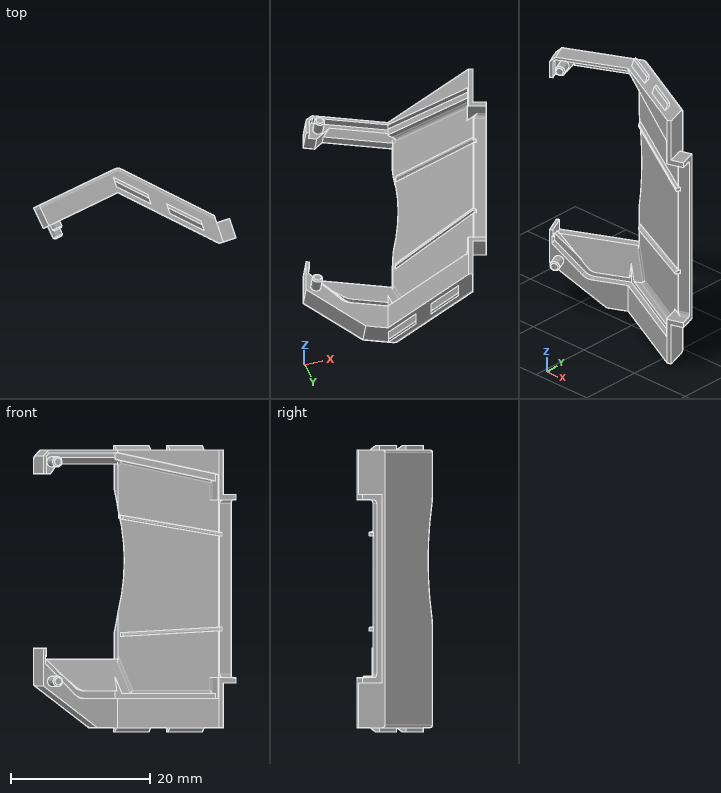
import cadquery as cq
import math

total_height = 41.2
tab_height = 0.6
body_bottom = tab_height
body_top = total_height - tab_height
mid_height = total_height / 2

bend = cq.Vector(12.07, 7.3, 0)
left_angle = 25.7
right_angle = -math.degrees(math.atan(0.5))
end_angle = right_angle + 45
arm_depth = 3.3
left_length = 11.85
right_length = 16.3
panel_front = 2.05
left_ledge = 1.1
right_ledge = 0.8
reach = 49.45

end_wall_outer = 0.6
end_wall_inner = -0.15
flange_length = 2.55
flange_depth = 2.95
flange_thickness = 0.8
flange_inner_low = 7.83
flange_inner_high = total_height - flange_inner_low
lip_front = 2.15
lip_fillet = 0.5

left_wall = 0.5
upper_hook_bottom = 37.12
lower_hook_top = 12.07
hook_chamfer = 0.9
foot_corner_height = 6.65
foot_corner_position = -3.2

rim_low = 4.85
ledge_low_left = 5.95
ledge_low_right = 5.52
rim_high = 40.13
ledge_high_left = 39.45
left_back_high = 38.52
right_ledge_step = 1.1
right_slope = 0.193
ramp_top = 10.5

back_fillet = 0.4
bend_fillet = 1.0
pocket_fillet = 0.5
foot_rim_radius = 2.05

foot_rim_start = (-11.5, 9.85)
foot_rim_corner = -6.25
foot_ledge_start = (-11.5, 11.0)
foot_ledge_corner = -5.73

hook_plate_foot = -10.18
hook_plate_top = -8.35

scallop_centre_height = 24.65
scallop_deepest = 0.0
scallop_radius = 27.6

rib_heights = [(31.35, 28.43), (13.9, 14.85)]
rib_width = 0.55
rib_depth = 0.5
rib_fillet = 0.25
rib_start = 1.28
rib_end = 15.6

tab_front = 0.7
tab_width = 1.05
tab_length = 5.52
tab_start = -0.55
tab_pitch = 8.55

pin_radius = 0.75
pin_length = 2.1
pin_chamfer = 0.2
lower_pin_position = -10.45
lower_pin_height = 7.3
upper_pin_position = -10.0
upper_pin_height = 38.85


def arm_plane(angle, origin=bend):
    """Upright plane along an arm: x runs along it, y is up and the normal faces the front."""
    along = cq.Vector(math.cos(math.radians(angle)), math.sin(math.radians(angle)), 0)
    return cq.Plane(origin=origin, xDir=along, normal=along.cross(cq.Vector(0, 0, 1)))


left_plane = arm_plane(left_angle)
right_plane = arm_plane(right_angle)
end_origin = right_plane.toWorldCoords((right_length, 0, 0))
end_plane = arm_plane(end_angle, end_origin)


def at(plane, along, depth):
    """Plan point at a distance along an arm and a depth behind its front."""
    point = plane.toWorldCoords((along, 0, -depth))
    return (point.x, point.y)


def meet(plane_a, depth_a, plane_b, depth_b):
    """Plan point where a line at one depth of an arm crosses a line at a depth of another arm."""
    ax, ay = at(plane_a, 0, depth_a)
    bx, by = at(plane_b, 0, depth_b)
    u, v = plane_a.xDir, plane_b.xDir
    run = ((bx - ax) * v.y - (by - ay) * v.x) / (u.x * v.y - u.y * v.x)
    return (ax + run * u.x, ay + run * u.y)


def across_end(along, plane, depth):
    """Plan point where the cross line of the turned end meets a depth line of an arm."""
    cross_line = arm_plane(end_angle + 90, cq.Vector(*at(end_plane, along, 0)))
    return meet(cross_line, 0, plane, depth)


def plan(points, bottom, top):
    """Upright prism over a plan outline."""
    return cq.Workplane("XY").workplane(offset=bottom).polyline(points).close().extrude(top - bottom)


def profile(plane, points, front, back):
    """Prism over an arm elevation, between two depths."""
    return cq.Workplane(plane).workplane(offset=-back).polyline(points).close().extrude(back - front)


def section(plane, points, start, end):
    """Prism along an arm over a cross-section of (depth, height) points."""
    cross = cq.Plane(origin=plane.toWorldCoords((start, 0, 0)), xDir=-plane.zDir, normal=plane.xDir)
    return cq.Workplane(cross).polyline(points).close().extrude(end - start)


front_bend = (bend.x, bend.y)
ledge_bend = meet(left_plane, left_ledge, right_plane, right_ledge)
outer_bend = meet(left_plane, arm_depth, right_plane, arm_depth)
panel_corner = meet(left_plane, panel_front, right_plane, panel_front)
panel_start = panel_front * math.tan(math.radians((left_angle - right_angle) / 2))


def make_block():
    """Solid bent bar with its left corners cut and its back edges rounded."""
    outline = [
        front_bend,
        at(end_plane, 0, 0),
        at(end_plane, end_wall_outer, 0),
        across_end(end_wall_outer, right_plane, arm_depth),
        outer_bend,
        at(left_plane, -left_length, arm_depth),
        at(left_plane, -left_length, 0),
    ]
    block = plan(outline, body_bottom, body_top)
    top_corner = [
        (-left_length, body_top),
        (-left_length, body_top - hook_chamfer),
        (-left_length + hook_chamfer, body_top),
    ]
    foot_corner = [
        (-left_length, body_bottom),
        (-left_length, foot_corner_height),
        (foot_corner_position, body_bottom),
    ]
    for corner in (top_corner, foot_corner):
        block = block.cut(profile(left_plane, corner, -0.4, arm_depth + 0.4))
    block = block.edges(cq.selectors.NearestToPointSelector((*outer_bend, mid_height))).fillet(bend_fillet)
    back = cq.selectors.NearestToPointSelector((*at(left_plane, -left_length / 2, arm_depth), mid_height))
    return block.faces(back).edges("not |Z").fillet(back_fillet)


def ramp_section():
    """Cross-section of the left foot: from the front rim up a ramp to the back wall."""
    return [(0, 0), (0, rim_low), (panel_front, ramp_top), (reach, ramp_top), (reach, 0)]


def hook_section():
    """Cross-section of the left hook behind its ledge, with an underside sloping down to the back."""
    return [
        (left_ledge, total_height),
        (left_ledge, ledge_high_left),
        (panel_front, left_back_high),
        (reach, left_back_high),
        (reach, total_height),
    ]


def make_left_void():
    """Open space of the left arm between foot and hook, up to the edge of the panel."""
    outline = [
        front_bend,
        ledge_bend,
        panel_corner,
        at(left_plane, panel_start, reach),
        at(left_plane, -reach, reach),
        at(left_plane, -reach, -reach),
        at(right_plane, 0, -reach),
    ]
    start = -left_length + left_wall
    length = left_length
    tall = section(left_plane, [(-0.4, rim_low), (reach, rim_low), (reach, rim_high), (-0.4, rim_high)], start, length)
    void = tall.cut(section(left_plane, ramp_section(), start, length))
    void = void.cut(section(left_plane, hook_section(), start, length))
    for solid in left_end_fills():
        void = void.cut(solid)
    void = void.union(make_foot_groove())
    gap = [
        (-reach, lower_hook_top),
        (start, lower_hook_top),
        (start, upper_hook_bottom),
        (-reach, upper_hook_bottom),
    ]
    void = void.union(profile(left_plane, gap, -0.4, arm_depth + 0.4))
    return void.intersect(plan(outline, 0, total_height))


def foot_outline(diagonal_start, corner, floor, radius):
    """Elevation under a foot edge that drops at a slope from the left wall and levels off at the floor."""
    (start_along, start_height) = diagonal_start
    slope = math.atan2(start_height - floor, corner - start_along)
    tangent = radius * math.tan(slope / 2)
    curve_start = (corner - tangent * math.cos(slope), floor + tangent * math.sin(slope))
    curve_middle = (
        corner + tangent - radius * math.sin(slope / 2),
        floor + radius * (1 - math.cos(slope / 2)),
    )
    return (
        cq.Workplane(left_plane)
        .moveTo(start_along, 0)
        .lineTo(start_along, start_height)
        .lineTo(*curve_start)
        .threePointArc(curve_middle, (corner + tangent, floor))
        .lineTo(reach, floor)
        .lineTo(reach, 0)
        .close()
    )


def foot_front(depth):
    """Foot material below the front rim."""
    return foot_outline(foot_rim_start, foot_rim_corner, rim_low, foot_rim_radius).extrude(-depth)


def foot_ledge(depth):
    """Foot material below the ledge edge."""
    return foot_outline(foot_ledge_start, foot_ledge_corner, ledge_low_left, foot_rim_radius).extrude(-depth)


def make_foot_groove():
    """Step cut into the foot between its front rim and its ledge edge."""
    return foot_ledge(left_ledge).cut(foot_front(left_ledge))


def left_end_fills():
    """Material left standing beside the end wall: foot rim, foot ledge, hook plate and hook corner."""
    hook_plate = [
        (-left_length, upper_hook_bottom),
        (hook_plate_foot, upper_hook_bottom),
        (hook_plate_top, ledge_high_left),
        (hook_plate_top, total_height),
        (-left_length, total_height),
    ]
    inner_wall = -left_length + left_wall
    hook_corner = [
        (inner_wall, rim_high),
        (inner_wall, rim_high - hook_chamfer / 2),
        (inner_wall + hook_chamfer / 2, rim_high),
    ]
    return [
        foot_front(left_ledge),
        foot_ledge(panel_front).cut(foot_ledge(left_ledge)),
        profile(left_plane, hook_plate, left_ledge, arm_depth + 0.4),
        profile(left_plane, hook_corner, 0, left_ledge),
    ]


def make_right_pocket():
    """Space of the right arm in front of the panel, with its back edges rounded."""
    def opening(low, high, depth):
        start, end = -arm_depth, right_length
        points = [(start, low), (end, low), (end, high - right_slope * end), (start, high - right_slope * start)]
        return profile(right_plane, points, -0.4, depth)

    def clip(depth, left_corners):
        outline = [
            front_bend,
            *left_corners,
            across_end(end_wall_inner, right_plane, depth),
            across_end(end_wall_inner, right_plane, -0.4),
            at(right_plane, 0, -0.4),
        ]
        return plan(outline, 0, total_height)

    pocket = opening(ledge_low_right, rim_high - right_ledge_step, panel_front)
    pocket = pocket.intersect(clip(panel_front, [ledge_bend, panel_corner]))
    pocket = pocket.cut(section(left_plane, ramp_section(), -arm_depth, right_length))
    pocket = pocket.cut(section(left_plane, hook_section(), -arm_depth, right_length))
    middle = at(right_plane, right_length / 2, panel_front)
    back = cq.selectors.NearestToPointSelector((*middle, mid_height))
    open_side = cq.selectors.NearestToPointSelector((*panel_corner, mid_height))
    back_edges = pocket.faces(back).edges()
    rounded = [edge for edge in back_edges.vals() if edge not in back_edges.edges(open_side).vals()]
    pocket = pocket.newObject(rounded).fillet(pocket_fillet)
    groove = opening(rim_low, rim_high, right_ledge).intersect(clip(right_ledge, [ledge_bend]))
    return pocket.union(groove)


def make_end_window():
    """Opening through the right end between the two flanges, in front of the panel and the lip."""
    outline = [
        at(end_plane, -arm_depth, -0.4),
        across_end(-arm_depth, right_plane, panel_front),
        meet(right_plane, panel_front, end_plane, lip_front),
        at(end_plane, reach, lip_front),
        at(end_plane, reach, -0.4),
    ]
    return plan(outline, flange_inner_low, flange_inner_high)


def make_flanges_and_lip():
    """Turned end: a flange above and below, joined by the lip along the panel edge."""
    back_edge = [at(end_plane, flange_length, flange_depth), at(end_plane, 0, flange_depth)]
    flange = [at(end_plane, 0, 0), at(end_plane, flange_length, 0)] + back_edge
    lip = [
        meet(right_plane, panel_front, end_plane, lip_front),
        at(end_plane, flange_length, lip_front),
    ] + back_edge
    turned = plan(lip, flange_inner_low, flange_inner_high)
    turned = turned.union(plan(flange, flange_inner_low - flange_thickness, flange_inner_low))
    turned = turned.union(plan(flange, flange_inner_high, flange_inner_high + flange_thickness))
    for height in (flange_inner_low, flange_inner_high):
        inner_edge = (*at(end_plane, flange_length / 2, lip_front), height)
        turned = turned.edges(cq.selectors.NearestToPointSelector(inner_edge)).fillet(lip_fillet)
    return turned


def make_scallop():
    """Round cutter square to the panel for the free edge of the panel."""
    return (
        cq.Workplane(right_plane)
        .center(scallop_deepest - scallop_radius, scallop_centre_height)
        .circle(scallop_radius)
        .extrude(-arm_depth - 0.4)
        .intersect(plan_band())
    )


def plan_band():
    """Band of heights between the foot and the hook, where the panel edge is free."""
    outline = [(-reach, -reach), (reach, -reach), (reach, reach), (-reach, reach)]
    return plan(outline, lower_hook_top, upper_hook_bottom)


def make_rib(left_height, right_height):
    """Narrow sloping rib on the front of the panel."""
    half = rib_width / 2
    points = [
        (-arm_depth, left_height - half),
        (rib_end, right_height - half),
        (rib_end, right_height + half),
        (-arm_depth, left_height + half),
    ]
    start_line = [at(left_plane, rib_start, reach), at(left_plane, rib_start, -reach)]
    end_line = [at(right_plane, reach, -reach), at(right_plane, reach, reach)]
    bar = profile(right_plane, points, panel_front - rib_depth, panel_front + 0.4)
    return bar.intersect(plan(start_line + end_line, 0, total_height))


def make_tab(start):
    """Tab above the top face: skewed ends and a front side that slopes up to the full height."""
    def outline(front, height):
        back = tab_front + tab_width
        points = [
            at(right_plane, start - (front - tab_front), front),
            at(right_plane, start - (front - tab_front) + tab_length, front),
            at(right_plane, start - tab_width + tab_length, back),
            at(right_plane, start - tab_width, back),
        ]
        return cq.Wire.makePolygon([cq.Vector(x, y, height) for x, y in points], close=True)

    base = outline(tab_front, body_top)
    crest = outline(tab_front + tab_height, total_height)
    return cq.Workplane(cq.Solid.makeLoft([base, crest], True))


def make_pin(along, height, base_depth):
    """Pin standing on the front of the left arm, with a chamfered tip."""
    base = cq.Workplane(left_plane).workplane(offset=-base_depth - 0.4).center(along, height)
    return base.circle(pin_radius).extrude(pin_length + 0.4).faces("<Y").chamfer(pin_chamfer)


result = make_block()
result = result.cut(make_left_void())
result = result.cut(make_right_pocket())
result = result.cut(make_end_window())
result = result.union(make_flanges_and_lip())
result = result.cut(make_scallop())
for rib_left, rib_right in rib_heights:
    result = result.union(make_rib(rib_left, rib_right))
    inner_side = math.copysign(rib_width / 2, mid_height - rib_left)
    rib_foot = (*at(right_plane, right_length / 2, panel_front), (rib_left + rib_right) / 2 + inner_side)
    result = result.edges(cq.selectors.NearestToPointSelector(rib_foot)).fillet(rib_fillet)
for tab_index in range(2):
    tab = make_tab(tab_start + tab_index * tab_pitch)
    mirrored_tab = tab.mirror("XY", (0, 0, mid_height))
    result = result.union(tab).union(mirrored_tab)
result = result.union(make_pin(lower_pin_position, lower_pin_height, 0))
result = result.union(make_pin(upper_pin_position, upper_pin_height, left_ledge))